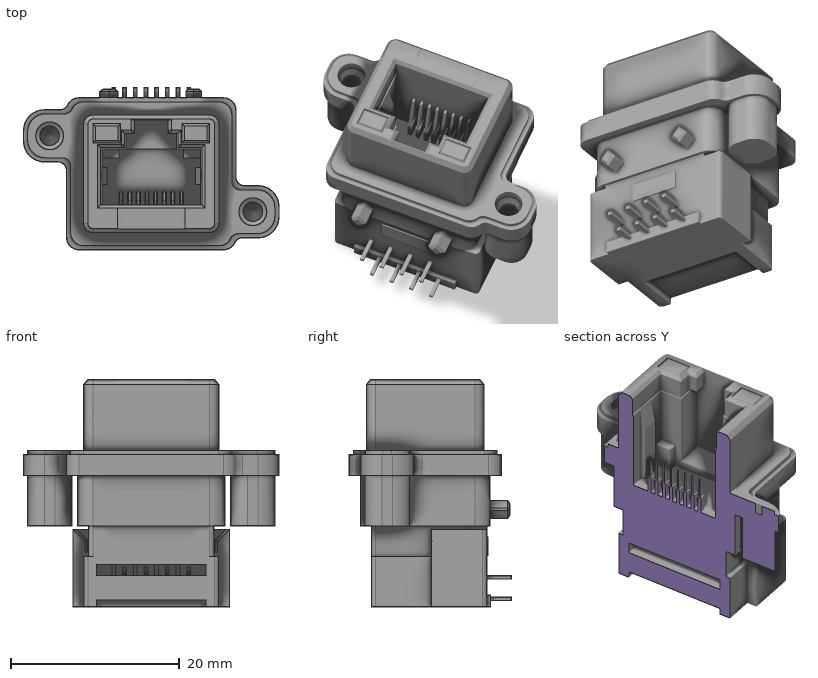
import cadquery as cq
import math


TOTAL_HEIGHT = 26.95
FLANGE_TOP = 18.55
FLANGE_STEP = 0.5
FLANGE_BOTTOM = 15.55
BODY_BOTTOM = 9.6
TAB_TOP = 9.2
BASE_TOP = 5.95

FLANGE_HALF_X = 10.05
FLANGE_HALF_Y = 9.02
FLANGE_RADIUS = 1.5
EAR_TIP_X = 15.15
EAR_HALF_Y = 3.1
EAR_RADIUS = 2.5
RIM_EAR_RADIUS = 2.1
EAR_FILLET = 1.0
STEP_INSET = 0.5
SCREW_X = 12.05
SCREW_Y = 4.5
SCREW_POSITIONS = [(-SCREW_X, SCREW_Y), (SCREW_X, -SCREW_Y)]

BOSS_SIZE = 5.25
BOSS_RADIUS = 2.0
HOLE_MOUTH_DIAMETER = 3.3
HOLE_MOUTH_DEPTH = 1.3
HOLE_DIAMETER = 2.3
HOLE_CONE_DEPTH = 0.5
HOLE_DEPTH = 7.0
DRILL_TIP_DEPTH = 0.65

CORNER_X = 6.92
CORNER_Y = 5.88
SHROUD_RADIUS = 1.1
SHROUD_CHAMFER_HEIGHT = 0.6
SHROUD_CHAMFER_WIDTH = 0.5
BODY_RADIUS = 1.8
NECK_RADIUS = 0.5

NECK_HALF_X = CORNER_X + NECK_RADIUS
FRONT_Y = -(CORNER_Y + NECK_RADIUS)
NECK_BACK_Y = 5.3
BACK_Y = 7.3
BASE_HALF_X = 8.0
TAB_HALF_X = 9.3
TAB_FRONT_Y = 0.75
RELIEF_BEVEL = 0.3
RELIEF_SLIT_X = 7.85
RELIEF_BOTTOM = 6.5

WINDOW_HALF_X = 6.5
WINDOW_BOTTOM = 3.7
WINDOW_TOP = 5.05
CHANNEL_HEIGHT = 0.82
WINDOW_DEPTH = 6.0
PIN_COUNT = 8
PIN_PITCH = 1.27
PIN_WIDTH = 0.45
PIN_THICKNESS = 0.4
PIN_END_Y = 10.22
PIN_ROOT = 1.0
UPPER_PIN_Z = 3.5
LOWER_PIN_Z = 0.95
BENT_PIN_TOP = 4.75
BENT_PIN_LENGTH = 1.2
BENT_PIN_RADIUS = 1.0

FOOT_Y = 7.75
FOOT_HEIGHT = 1.4
BUMP_Y = 7.45
BUMP_BOTTOM = 6.1
BUMP_HEIGHT = 2.2
BUMP_WIDTH = 6.0
PEG_X = 5.03
PEG_Z = 11.55
PEG_DIAGONAL = 2.17
PEG_TRIMMED_WIDTH = 1.87
PEG_END_Y = 10.05
PEG_CHAMFER = 0.3

CAVITY_HALF_X = 6.0
CAVITY_FRONT_Y = -3.68
CAVITY_BACK_Y = 3.1
KEY_HALF_X = 3.17
KEY_BACK_Y = 4.8
LATCH_HALF_X = 2.0
LATCH_BACK_Y = 6.4
MOUTH_CHAMFER = 0.38
LEDGE_Z = 24.2
LEDGE_WIDTH = 0.15
SHOULDER_BOTTOM = 24.6
CAVITY_FLOOR = 13.95
KEY_FLOOR = 15.0

BLOCK_INNER_X = 3.85
BLOCK_FRONT_Y = 1.85
BLOCK_TOP = 17.0
WEDGE_INNER_X = 5.27
WEDGE_FRONT_Y = -1.28
WEDGE_BACK_Y = 0.77
WEDGE_TOP = 24.0
WEDGE_SLOPE_HEIGHT = 2.6
CONTACT_COUNT = 8
CONTACT_PITCH = 1.02
CONTACT_WIDTH = 0.5
CONTACT_WIRE_WIDTH = 0.26
CONTACT_TIP_Y = -2.15
CONTACT_BEND_Y = -3.2
CONTACT_BASE_TOP = 16.0
CONTACT_WIRE_TOP = 20.0

LIGHT_CENTRE_X = 5.28
LIGHT_CENTRE_Y = 4.8
LIGHT_SIZE_X = 3.3
LIGHT_SIZE_Y = 2.28
LIGHT_GROOVE = 0.3
LABEL_WIDTH = 8.0
LABEL_DEPTH = 0.06


def box(x0, x1, y0, y1, z0, z1):
    """Box between two opposite corners."""
    return cq.Workplane("XY").box(x1 - x0, y1 - y0, z1 - z0, centered=False).translate((x0, y0, z0))


def both_sides(solid):
    """A solid together with its mirror image across the YZ plane."""
    return solid.union(solid.mirror("YZ"))


def rounded_block(half_x, half_y, radius, z0, z1):
    """Block centred on the Z axis with rounded vertical edges."""
    return box(-half_x, half_x, -half_y, half_y, z0, z1).edges("|Z").fillet(radius)


def arc_point(centre, radius, angle):
    """Point on a circle at an angle in radians."""
    return (centre[0] + radius * math.cos(angle), centre[1] + radius * math.sin(angle))


def flange_outline(inset, ear_radius):
    """Rounded rectangle with two ears; it repeats after half a turn about Z.

    Its straight sides lie inward of the full flange by the inset.
    """
    half_x = FLANGE_HALF_X - inset
    half_y = FLANGE_HALF_Y - inset
    tip_x = EAR_TIP_X - inset
    ear_half_y = EAR_HALF_Y - inset
    diagonal = math.sqrt(0.5)
    ear_top = SCREW_Y + ear_half_y
    ear_bottom = SCREW_Y - ear_half_y
    corner = (-half_x + FLANGE_RADIUS, half_y - FLANGE_RADIUS)
    rise = ear_top + EAR_FILLET - corner[1]
    reach = FLANGE_RADIUS + EAR_FILLET
    blend = (corner[0] - math.sqrt(reach**2 - rise**2), ear_top + EAR_FILLET)
    blend_angle = math.asin(rise / reach)
    meeting = arc_point(corner, FLANGE_RADIUS, math.pi - blend_angle)
    blend_middle = arc_point(blend, EAR_FILLET, -(math.pi / 2 + blend_angle) / 2)
    corner_middle = arc_point(corner, FLANGE_RADIUS, (1.5 * math.pi - blend_angle) / 2)
    ear_x = -tip_x + ear_radius
    ear_upper = (ear_x, ear_top - ear_radius)
    ear_lower = (ear_x, ear_bottom + ear_radius)
    under = (-half_x - EAR_FILLET, ear_bottom - EAR_FILLET)
    plain = (-corner[0], corner[1])
    steps = [
        ("line", (-half_x, under[1])),
        ("arc", (under[0] + EAR_FILLET * diagonal, under[1] + EAR_FILLET * diagonal), (under[0], ear_bottom)),
        ("line", (ear_x, ear_bottom)),
        ("arc", arc_point(ear_lower, ear_radius, 1.25 * math.pi), (-tip_x, ear_lower[1])),
        ("line", (-tip_x, ear_upper[1])),
        ("arc", arc_point(ear_upper, ear_radius, 0.75 * math.pi), (ear_x, ear_top)),
        ("line", (blend[0], ear_top)),
        ("arc", blend_middle, meeting),
        ("arc", corner_middle, (corner[0], half_y)),
        ("line", (plain[0], half_y)),
        ("arc", arc_point(plain, FLANGE_RADIUS, math.pi / 4), (half_x, plain[1])),
    ]
    outline = cq.Workplane("XY").moveTo(-half_x, -plain[1])
    for turn in (1, -1):
        for kind, *points in steps:
            turned = [(turn * x, turn * y) for x, y in points]
            if kind == "line":
                outline = outline.lineTo(*turned[0])
            else:
                outline = outline.threePointArc(*turned)
    return outline.close()


def make_flange():
    step_z = FLANGE_TOP - FLANGE_STEP
    plate = flange_outline(0, EAR_RADIUS).extrude(step_z - FLANGE_BOTTOM)
    rim = flange_outline(STEP_INSET, RIM_EAR_RADIUS).extrude(FLANGE_TOP - FLANGE_BOTTOM)
    return plate.union(rim).translate((0, 0, FLANGE_BOTTOM))


def make_bosses():
    boss = rounded_block(BOSS_SIZE / 2, BOSS_SIZE / 2, BOSS_RADIUS, BODY_BOTTOM, FLANGE_BOTTOM)
    left, right = [boss.translate((x, y, 0)) for x, y in SCREW_POSITIONS]
    return left.union(right)


def make_screw_hole():
    """Blind hole with a wide mouth, a conical seat and a drill-point bottom."""
    mouth = HOLE_MOUTH_DIAMETER / 2
    bore = HOLE_DIAMETER / 2
    seat_z = FLANGE_TOP - HOLE_MOUTH_DEPTH
    end_z = FLANGE_TOP - HOLE_DEPTH
    profile = [
        (0, FLANGE_TOP),
        (mouth, FLANGE_TOP),
        (mouth, seat_z),
        (bore, seat_z - HOLE_CONE_DEPTH),
        (bore, end_z),
        (0, end_z - DRILL_TIP_DEPTH),
    ]
    return cq.Workplane("XZ").polyline(profile).close().revolve(360, (0, 0, 0), (0, 1, 0))


def make_shroud_and_body():
    shroud = rounded_block(
        CORNER_X + SHROUD_RADIUS, CORNER_Y + SHROUD_RADIUS, SHROUD_RADIUS, FLANGE_BOTTOM, TOTAL_HEIGHT
    )
    shroud = shroud.faces(">Z").chamfer(SHROUD_CHAMFER_HEIGHT, SHROUD_CHAMFER_WIDTH)
    body = rounded_block(
        CORNER_X + BODY_RADIUS, CORNER_Y + BODY_RADIUS, BODY_RADIUS, BODY_BOTTOM, FLANGE_BOTTOM
    )
    return shroud.union(body)


def make_tab_relief():
    """Bevelled lead-in between the left tab and the neck, running down into a slit."""
    overrun = 2.0
    slit_top = TAB_TOP - (TAB_HALF_X - RELIEF_SLIT_X)
    profile = [
        (-TAB_HALF_X - overrun, TAB_TOP + overrun),
        (-RELIEF_SLIT_X, slit_top),
        (-RELIEF_SLIT_X, RELIEF_BOTTOM - overrun),
        (-NECK_HALF_X + overrun, RELIEF_BOTTOM - overrun),
        (-NECK_HALF_X + overrun, TAB_TOP + overrun),
    ]
    front = cq.Workplane("XZ", origin=(0, TAB_FRONT_Y, 0)).polyline(profile).close()
    bevel = front.extrude(-RELIEF_BEVEL, taper=45)
    inner = cq.Workplane("XZ", origin=(0, TAB_FRONT_Y, 0)).polyline(profile).close()
    inner = inner.offset2D(-RELIEF_BEVEL, "intersection").extrude(TAB_FRONT_Y - NECK_BACK_Y)
    limits = box(-TAB_HALF_X, 0, TAB_FRONT_Y, NECK_BACK_Y, RELIEF_BOTTOM, TAB_TOP)
    return bevel.union(inner).intersect(limits)


def make_base():
    neck = box(-NECK_HALF_X, NECK_HALF_X, FRONT_Y, NECK_BACK_Y, 0, BODY_BOTTOM)
    neck = neck.edges("|Z and <Y").fillet(NECK_RADIUS)
    neck_back = box(-CORNER_X, CORNER_X, 0, BACK_Y, 0, BODY_BOTTOM)
    lower = box(-BASE_HALF_X, BASE_HALF_X, FRONT_Y, BACK_Y, 0, BASE_TOP)
    lower = lower.edges("|Z and <Y").fillet(NECK_RADIUS)
    tabs = box(-TAB_HALF_X, TAB_HALF_X, TAB_FRONT_Y, BACK_Y, 0, TAB_TOP)
    tabs = tabs.edges("|Z and >Y").fillet(NECK_RADIUS)
    tabs = tabs.cut(both_sides(make_tab_relief()))
    foot = box(-WINDOW_HALF_X, WINDOW_HALF_X, 0, FOOT_Y, 0, FOOT_HEIGHT)
    bump = box(-BUMP_WIDTH / 2, BUMP_WIDTH / 2, 0, BUMP_Y, BUMP_BOTTOM, BUMP_BOTTOM + BUMP_HEIGHT)
    base = tabs.union(neck).union(neck_back).union(lower).union(foot).union(bump)
    window_back = FRONT_Y + WINDOW_DEPTH
    for bottom, top in ((WINDOW_BOTTOM, WINDOW_TOP), (0, CHANNEL_HEIGHT)):
        base = base.cut(box(-WINDOW_HALF_X, WINDOW_HALF_X, FRONT_Y, window_back, bottom, top))
    return base


def make_pin(index):
    """Solder pin at the back, with its length of wire seen in the front window."""
    x = (index - (PIN_COUNT - 1) / 2) * PIN_PITCH
    is_bent = index % 2 == 1
    z = UPPER_PIN_Z if is_bent else LOWER_PIN_Z
    x0 = x - PIN_WIDTH / 2
    x1 = x + PIN_WIDTH / 2
    tail = box(x0, x1, BACK_Y - PIN_ROOT, PIN_END_Y, z - PIN_THICKNESS / 2, z + PIN_THICKNESS / 2)
    window_back = FRONT_Y + WINDOW_DEPTH
    wire_top = BENT_PIN_TOP if is_bent else WINDOW_TOP
    wire_length = BENT_PIN_LENGTH if is_bent else PIN_THICKNESS
    wire = box(x0, x1, window_back - wire_length, window_back, WINDOW_BOTTOM, wire_top)
    if is_bent:
        wire = wire.edges("|X and <Z and <Y").fillet(BENT_PIN_RADIUS)
    return tail, wire


def make_peg(x, width):
    """Diamond-section locating peg toward +Y, trimmed to a width, with a chamfered end."""
    trim = box(-width / 2, width / 2, CORNER_Y, PEG_END_Y, -PEG_DIAGONAL, PEG_DIAGONAL)
    peg = cq.Workplane("XZ").polygon(4, PEG_DIAGONAL).extrude(-PEG_END_Y).intersect(trim)
    peg = peg.faces(">Y").chamfer(PEG_CHAMFER)
    return peg.translate((x, 0, PEG_Z))


def socket_outline(margin):
    """Stepped socket outline, grown outward by a margin."""
    right = [
        (CAVITY_HALF_X + margin, CAVITY_FRONT_Y - margin),
        (CAVITY_HALF_X + margin, CAVITY_BACK_Y + margin),
        (KEY_HALF_X + margin, CAVITY_BACK_Y + margin),
        (KEY_HALF_X + margin, KEY_BACK_Y + margin),
        (LATCH_HALF_X + margin, KEY_BACK_Y + margin),
        (LATCH_HALF_X + margin, LATCH_BACK_Y + margin),
    ]
    left = [(-x, y) for x, y in reversed(right)]
    return cq.Workplane("XY", origin=(0, 0, TOTAL_HEIGHT)).polyline(right + left).close()


def make_socket():
    mouth = socket_outline(MOUTH_CHAMFER).extrude(-MOUTH_CHAMFER, taper=45)
    mouth = mouth.intersect(
        box(-FLANGE_HALF_X, FLANGE_HALF_X, -FLANGE_HALF_Y, LATCH_BACK_Y, FLANGE_TOP, TOTAL_HEIGHT)
    )
    entry = socket_outline(0).extrude(LEDGE_Z - TOTAL_HEIGHT)
    inner_x = CAVITY_HALF_X - LEDGE_WIDTH
    inner_back = CAVITY_BACK_Y - LEDGE_WIDTH
    key_x = KEY_HALF_X - LEDGE_WIDTH
    cavity = box(-inner_x, inner_x, CAVITY_FRONT_Y, inner_back, CAVITY_FLOOR, LEDGE_Z)
    key = box(-key_x, key_x, 0, LATCH_BACK_Y, KEY_FLOOR, SHOULDER_BOTTOM)
    socket = mouth.union(entry).union(cavity).union(key)
    block = box(BLOCK_INNER_X, CAVITY_HALF_X, BLOCK_FRONT_Y, CAVITY_BACK_Y, CAVITY_FLOOR, BLOCK_TOP)
    return socket.cut(both_sides(block)).cut(both_sides(make_wedge())).cut(make_contacts())


def make_wedge():
    """Side spring: a sloping lead-in on the right-hand socket wall."""
    wall_x = CAVITY_HALF_X - LEDGE_WIDTH
    profile = [
        (wall_x, WEDGE_TOP),
        (WEDGE_INNER_X, WEDGE_TOP - WEDGE_SLOPE_HEIGHT),
        (WEDGE_INNER_X, CAVITY_FLOOR),
        (wall_x, CAVITY_FLOOR),
    ]
    plane = cq.Workplane("XZ", origin=(0, WEDGE_BACK_Y, 0))
    return plane.polyline(profile).close().extrude(WEDGE_BACK_Y - WEDGE_FRONT_Y)


def make_contacts():
    """Row of contacts, each a guide block carrying a sloping wire."""
    wire_profile = [
        (CAVITY_FRONT_Y, CAVITY_FLOOR),
        (CAVITY_FRONT_Y, CONTACT_WIRE_TOP),
        (CONTACT_BEND_Y, CONTACT_WIRE_TOP),
        (CONTACT_TIP_Y, CONTACT_BASE_TOP),
        (CONTACT_TIP_Y, CAVITY_FLOOR),
    ]
    half = CONTACT_WIDTH / 2
    guide = box(-half, half, CAVITY_FRONT_Y, CONTACT_TIP_Y, CAVITY_FLOOR, CONTACT_BASE_TOP)
    wire = cq.Workplane("YZ").polyline(wire_profile).close().extrude(CONTACT_WIRE_WIDTH / 2, both=True)
    contact = guide.union(wire)
    row = cq.Workplane("XY")
    for index in range(CONTACT_COUNT):
        row = row.union(contact.translate(((index - (CONTACT_COUNT - 1) / 2) * CONTACT_PITCH, 0, 0)))
    return row


def make_light_groove():
    """Groove around the right-hand light window, sloping up to the flush window."""
    plane = cq.Workplane("XY", origin=(LIGHT_CENTRE_X, LIGHT_CENTRE_Y, TOTAL_HEIGHT - LIGHT_GROOVE))
    pocket = plane.rect(LIGHT_SIZE_X, LIGHT_SIZE_Y).extrude(LIGHT_GROOVE)
    window = plane.rect(LIGHT_SIZE_X, LIGHT_SIZE_Y).extrude(LIGHT_GROOVE, taper=45)
    return pocket.cut(window)


def make_label_recess():
    """Shallow recess from the socket mouth out through the shroud chamfer."""
    front_y = -(CORNER_Y + SHROUD_RADIUS)
    back_y = CAVITY_FRONT_Y - MOUTH_CHAMFER
    half = LABEL_WIDTH / 2
    return box(-half, half, front_y, back_y, TOTAL_HEIGHT - LABEL_DEPTH, TOTAL_HEIGHT)


result = make_flange().union(make_bosses()).union(make_shroud_and_body()).union(make_base())

for hole_x, hole_y in SCREW_POSITIONS:
    result = result.cut(make_screw_hole().translate((hole_x, hole_y, 0)))

result = result.union(make_peg(-PEG_X, PEG_DIAGONAL)).union(make_peg(PEG_X, PEG_TRIMMED_WIDTH))

for pin_index in range(PIN_COUNT):
    pin_tail, pin_wire = make_pin(pin_index)
    result = result.union(pin_tail).union(pin_wire)

result = result.cut(make_socket()).cut(both_sides(make_light_groove())).cut(make_label_recess())